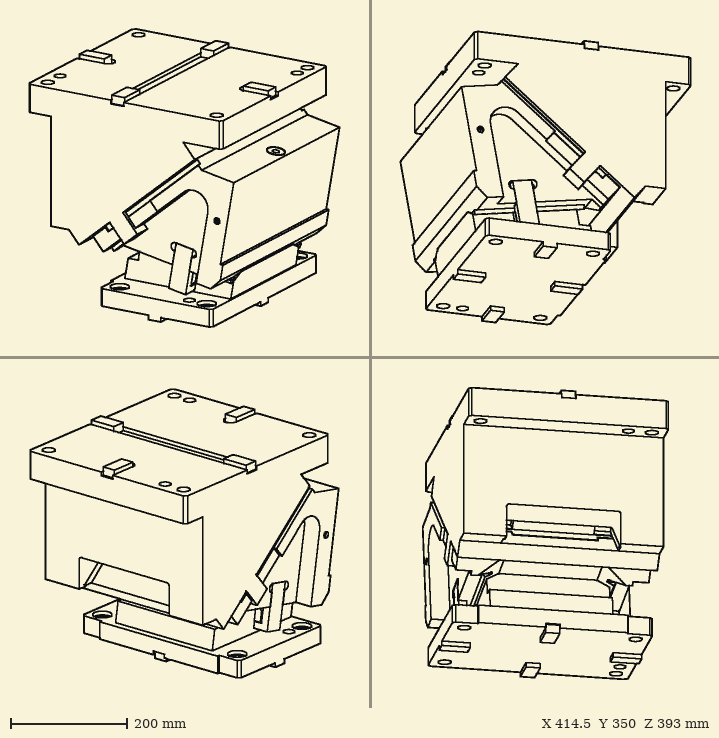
import cadquery as cq
import math


width = 350.0
half_width = width / 2
corner_chamfer = 5.0
key_length = 50.0
key_width = 25.0
key_proud = 8.0
key_sunk = 7.0
bolt_hole = 22.0
dowel_hole = 20.0
bolt_y = 150.0
through = 500.0

drive_angle = math.radians(40)
drive_origin = (-128.7, 130.7)
drive_end = 273.5

guide_angle = math.radians(10)
guide_origin = (-86.0, 113.0)

drive_plane = cq.Plane(
    origin=(drive_origin[0], 0, drive_origin[1]),
    xDir=(math.cos(drive_angle), 0, math.sin(drive_angle)),
    normal=(0, -1, 0),
)
guide_plane = cq.Plane(
    origin=(guide_origin[0], 0, guide_origin[1]),
    xDir=(math.cos(guide_angle), 0, -math.sin(guide_angle)),
    normal=(0, -1, 0),
)
guide_section_plane = cq.Plane(
    origin=(guide_origin[0], 0, guide_origin[1]),
    xDir=(0, 1, 0),
    normal=(math.cos(guide_angle), 0, -math.sin(guide_angle)),
)

plate_left = -255.0
plate_length = 390.0
plate_right = plate_left + plate_length
plate_top = 385.0
plate_bottom = 334.0
body_left = -208.5
body_bottom = 135.0
nose_s = -30.5
ridge_start = 50.0
ridge_end = 85.0
ridge_depth = 45.0
window_half = 100.0
window_top = 194.0
window_radius = 5.0
slot_half = 103.0
slot_height = 16.5
slot_lead = 45.0
slot_end = 65.0
stop_half = 71.5
stop_start = 46.5
relief_half = 75.0
relief_start = 18.0
side_relief_start = 32.5
relief_depth = 1.0
cross_groove_x = -75.0
cross_groove_width = 26.0
cross_key_inset = 3.0
side_key_inset = 5.0
side_groove_length = 67.5
housing_bolt_x = (-230.0, 110.0)
housing_dowels = ((-230.0, -109.0), (110.0, 116.0))

core_half = 141.4
flange_half = 169.0
wear_half = 168.0
wear_thickness = 11.0
wear_chamfer = 2.0
flange_depth = 34.0
tip_depth = 41.5
web_start = 147.0
back_top = (159.52, 278.4)
back_pad_proud = 5.0
back_pad_top = 155.0
back_pad_length = 29.0
heel_x = 113.0
pocket_wall_point = (84.4, 85.6)
pocket_radius = 30.0
step_start = 32.5
step_half = 166.0
lip_half = 117.0
lip_drop = 7.0
roof_angle = math.radians(30)
lip_edge_half = lip_half - lip_drop * math.tan(roof_angle)
lip_start = 6.5
lip_end = 207.0
side_hole = 11.0
side_hole_x = 125.4
side_hole_z = 203.0
side_hole_depth = 5.0
side_pilot = 4.5
side_pilot_depth = 20.0
spotface = 32.0
spotface_depth = 1.0
lifting_hole = 12.0
lifting_hole_depth = 30.0
lifting_from_back = 22.0

hook_start = 103.0
hook_end = 137.5
hook_bottom = -45.0
hook_top = 41.0
hook_outer = 140.5
hook_thickness = 14.5
hook_channel_bottom = -20.0
foot_thickness = 12.0
foot_inner = 110.5
hook_slot_length = 51.0
hook_slot_width = 15.0

base_half = 115.0
base_plate_top = 40.0
base_step_x = 5.0
base_step_y = 131.0
trunk_half = 107.5
trunk_lower_start = -2.0
trunk_step_z = 77.7
trunk_upper_start = 18.0
trunk_end = 208.0
crest_half = 86.0
lug_half = 121.0
lug_start = 106.0
lug_end = 134.5
base_bolt_x = (-85.0, 90.0)
base_dowel_x = 55.0
counterbore = 33.0
counterbore_depth = 7.0


def drive_point(s, t):
    """X and Z of a point given in the drive frame."""
    x = drive_origin[0] + s * math.cos(drive_angle) - t * math.sin(drive_angle)
    z = drive_origin[1] + s * math.sin(drive_angle) + t * math.cos(drive_angle)
    return (x, z)


def guide_point(u, v):
    """X and Z of a point given in the guide frame."""
    x = guide_origin[0] + u * math.cos(guide_angle) + v * math.sin(guide_angle)
    z = guide_origin[1] - u * math.sin(guide_angle) + v * math.cos(guide_angle)
    return (x, z)


def roof_height(y):
    """v of the sloped guide roof at a distance y from the middle."""
    return (lip_edge_half - abs(y)) * math.tan(roof_angle) - lip_drop


def slab(plane, points, half):
    """Prism of a closed outline, reaching the same distance to both sides of Y = 0."""
    return cq.Workplane(plane).polyline(points).close().extrude(half, both=True)


def side_slabs(plane, points, inner, outer):
    """Prism of an outline on both sides, between two distances from Y = 0."""
    return slab(plane, points, outer).cut(slab(plane, points, inner))


def rectangle(left, right, bottom, top):
    return [(left, bottom), (right, bottom), (right, top), (left, top)]


def box(x_range, y_range, z_range):
    size = [high - low for low, high in (x_range, y_range, z_range)]
    return cq.Workplane("XY").box(*size, centered=False).translate((x_range[0], y_range[0], z_range[0]))


def upright_cylinders(points, diameter, bottom, top):
    centers = cq.Workplane("XY", origin=(0, 0, bottom)).pushPoints(points)
    return centers.circle(diameter / 2).extrude(top - bottom)


def guide_roof(half):
    """Prism under the sloped guide roof, along the whole guide."""
    depth = -through / 2
    points = [
        (-half, depth),
        (half, depth),
        (half, roof_height(half)),
        (crest_half, roof_height(crest_half)),
        (-crest_half, roof_height(crest_half)),
        (-half, roof_height(half)),
    ]
    return cq.Workplane(guide_section_plane).polyline(points).close().extrude(through, both=True)


nose_height = (body_bottom - drive_point(nose_s, 0)[1]) / math.cos(drive_angle)


def housing_blank():
    plate = box((plate_left, plate_right), (-half_width, half_width), (plate_bottom, plate_top))
    plate = plate.edges("|Z").chamfer(corner_chamfer)
    neck_height = (plate_bottom - drive_point(drive_end, 0)[1]) / math.cos(drive_angle)
    outline = [
        (body_left, plate_bottom),
        (body_left, body_bottom),
        drive_point(nose_s, nose_height),
        drive_point(nose_s, 0),
        drive_point(ridge_start, 0),
        drive_point(ridge_start, -ridge_depth),
        drive_point(ridge_end, -ridge_depth),
        drive_point(ridge_end, 0),
        drive_point(drive_end, 0),
        drive_point(drive_end, neck_height),
    ]
    return plate.union(slab("XZ", outline, half_width))


def cut_window(body):
    """Window in the left wall, leading into a wider sloped slot above the nose bar."""
    slot_floor = nose_height
    slot_top = slot_floor + slot_height
    window_end = drive_point(slot_end, slot_floor)[0]
    window = box((plate_left, window_end), (-window_half, window_half), (body_bottom, window_top))
    window = window.edges("|X and >Z").fillet(window_radius)
    below_slot = rectangle(-through, through, -through, slot_floor)
    window = window.cut(slab(drive_plane, below_slot, window_half))
    slot = slab(drive_plane, rectangle(-slot_lead, slot_end, slot_floor, slot_top), slot_half)
    stop = slab(drive_plane, rectangle(stop_start, slot_end, slot_floor, slot_top), stop_half)
    relief_bottom = slot_floor - relief_depth
    relief = slab(drive_plane, rectangle(relief_start, stop_start, relief_bottom, slot_floor), relief_half)
    side_relief_outline = rectangle(side_relief_start, stop_start, relief_bottom, slot_floor)
    side_relief = side_slabs(drive_plane, side_relief_outline, relief_half, slot_half)
    return body.cut(window).cut(slot).union(stop).cut(relief).cut(side_relief)


def add_top_keys(body):
    groove_bottom = plate_top - key_sunk
    key_top = plate_top + key_proud
    cross_half = cross_groove_width / 2
    cross_groove = box(
        (cross_groove_x - cross_half, cross_groove_x + cross_half),
        (-half_width, half_width),
        (groove_bottom, plate_top),
    )
    body = body.cut(cross_groove)
    for side in (-1, 1):
        key_y = side * (half_width - cross_key_inset - key_length / 2)
        cross_key = box(
            (cross_groove_x - cross_half, cross_groove_x + cross_half),
            (key_y - key_length / 2, key_y + key_length / 2),
            (groove_bottom, key_top),
        )
        body = body.union(cross_key)
    for edge, inward in ((plate_left, 1), (plate_right, -1)):
        groove = (
            cq.Workplane("XY", origin=(edge, 0, groove_bottom))
            .slot2D(2 * side_groove_length, key_width)
            .extrude(key_sunk)
        )
        key_x = edge + inward * (side_key_inset + key_length / 2)
        side_key = box(
            (key_x - key_length / 2, key_x + key_length / 2),
            (-key_width / 2, key_width / 2),
            (groove_bottom, key_top),
        )
        body = body.cut(groove).union(side_key)
    return body


def make_housing():
    body = add_top_keys(cut_window(housing_blank()))
    bolts = [(x, y) for x in housing_bolt_x for y in (-bolt_y, bolt_y)]
    body = body.cut(upright_cylinders(bolts, bolt_hole, plate_bottom, plate_top))
    return body.cut(upright_cylinders(housing_dowels, dowel_hole, plate_bottom, plate_top))


def back_point(distance, proud):
    """Point below the top back corner along the back face, and out from that face."""
    x = back_top[0] - distance * math.sin(guide_angle) + proud * math.cos(guide_angle)
    z = back_top[1] - distance * math.cos(guide_angle) - proud * math.sin(guide_angle)
    return (x, z)


def slide_outline():
    end_x, end_z = drive_point(drive_end, 0)
    rise = (end_x - back_top[0]) * math.sin(guide_angle) + (end_z - back_top[1]) * math.cos(guide_angle)
    end_drop = rise / math.cos(drive_angle + guide_angle)
    underside_start = guide_point(0, 0)
    heel_u = (heel_x - guide_origin[0]) / math.cos(guide_angle)
    return [
        drive_point(0, 0),
        drive_point(0, -tip_depth),
        underside_start,
        guide_point(heel_u, 0),
        back_point(back_pad_top + back_pad_length, back_pad_proud),
        back_point(back_pad_top, back_pad_proud),
        back_point(back_pad_top, 0),
        back_top,
        drive_point(drive_end, -end_drop),
        drive_point(drive_end, 0),
    ]


def side_pocket_outline():
    """Wedge below the flange and in front of the pocket wall, with a rounded upper corner."""
    wall_x, wall_z = pocket_wall_point
    flange_x, flange_z = drive_point(0, -flange_depth)
    wall_lean = math.tan(guide_angle)
    slope = math.tan(drive_angle)
    corner_z = (flange_z + slope * (wall_x - wall_lean * wall_z - flange_x)) / (1 - slope * wall_lean)
    corner_x = wall_x + wall_lean * (corner_z - wall_z)
    foot_z = base_plate_top
    foot_x = wall_x + wall_lean * (foot_z - wall_z)
    lead_x, lead_z = drive_point(-tip_depth, -flange_depth)
    return [(lead_x, lead_z), (corner_x, corner_z), (foot_x, foot_z), (lead_x, foot_z)]


def cut_side_pockets(body):
    outline = side_pocket_outline()
    corner_x, corner_z = outline[1]
    pocket = slab("XZ", outline, half_width)
    corner_edge = cq.selectors.NearestToPointSelector((corner_x, 0, corner_z))
    pocket = pocket.edges("|Y").edges(corner_edge).fillet(pocket_radius)
    return body.cut(pocket.cut(box((-through, through), (-core_half, core_half), (0, through))))


def cut_flange_steps(body):
    front_of_web = rectangle(-tip_depth, web_start, -flange_depth, through)
    wear_side = rectangle(0, through, -wear_thickness, through)
    end_step = rectangle(step_start, ridge_start, -wear_thickness, 0)
    body = body.cut(side_slabs(drive_plane, front_of_web, flange_half, half_width))
    body = body.cut(side_slabs(drive_plane, wear_side, flange_half, half_width))
    wear_plate_side = rectangle(ridge_end, drive_end, -wear_thickness, 0)
    body = body.cut(side_slabs(drive_plane, wear_plate_side, wear_half, flange_half))
    return body.cut(side_slabs(drive_plane, end_step, step_half, half_width))


def chamfer_sliding_face(body):
    """Bevel along both long edges of the sliding face."""
    for start, end, edge_y in ((0, ridge_start, flange_half), (ridge_end, drive_end, wear_half)):
        for side in (-1, 1):
            corner = [(side * edge_y, 0), (side * (edge_y - wear_chamfer), 0), (side * edge_y, -wear_chamfer)]
            x, z = drive_point(start, 0)
            plane = cq.Plane(
                origin=(x, 0, z),
                xDir=(0, 1, 0),
                normal=(math.cos(drive_angle), 0, math.sin(drive_angle)),
            )
            body = body.cut(cq.Workplane(plane).polyline(corner).close().extrude(end - start))
    return body


def cut_ridge_notch(body):
    """Notch across the sliding face for the housing ridge."""
    return body.cut(slab(drive_plane, rectangle(ridge_start, ridge_end, -ridge_depth, 0), half_width))


def add_guide_lip(body):
    """Hanging lip with sloped sides, hollowed by the guide roof of the base."""
    section = [(-lip_half, 0), (-lip_edge_half, -lip_drop), (lip_edge_half, -lip_drop), (lip_half, 0)]
    section_plane = cq.Workplane(guide_section_plane).workplane(offset=lip_start)
    lip = section_plane.polyline(section).close().extrude(lip_end - lip_start)
    return body.union(lip).cut(guide_roof(core_half))


def add_return_hooks(body):
    slot_middle = (hook_start + hook_end) / 2
    slot_v = hook_top - hook_slot_width / 2
    upright_inner = hook_outer - hook_thickness
    slots = (
        cq.Workplane(guide_plane)
        .center(slot_middle, slot_v)
        .slot2D(hook_slot_length, hook_slot_width)
        .extrude(core_half, both=True)
        .cut(box((-through, through), (-upright_inner, upright_inner), (0, through)))
    )
    channel = rectangle(hook_start, hook_end, hook_channel_bottom, hook_top)
    upright = rectangle(hook_start, hook_end, hook_bottom, hook_top)
    foot = rectangle(hook_start, hook_end, hook_bottom, hook_bottom + foot_thickness)
    body = body.cut(slots).cut(side_slabs(guide_plane, channel, upright_inner, core_half))
    body = body.union(side_slabs(guide_plane, upright, upright_inner, hook_outer))
    return body.union(side_slabs(guide_plane, foot, foot_inner, hook_outer))


def cut_slide_holes(body):
    for side in (-1, 1):
        for diameter, depth in ((side_hole, side_hole_depth), (side_pilot, side_pilot_depth)):
            start = cq.Workplane("XZ", origin=(side_hole_x, side * half_width, side_hole_z))
            body = body.cut(start.circle(diameter / 2).extrude(side * depth))
    lifting_x = back_top[0] - lifting_from_back * math.cos(guide_angle)
    lifting_z = back_top[1] + lifting_from_back * math.sin(guide_angle)
    top_face = cq.Plane(
        origin=(lifting_x, 0, lifting_z),
        xDir=(0, 1, 0),
        normal=(math.sin(guide_angle), 0, math.cos(guide_angle)),
    )
    body = body.cut(cq.Workplane(top_face).circle(spotface / 2).extrude(-spotface_depth))
    return body.cut(cq.Workplane(top_face).circle(lifting_hole / 2).extrude(-lifting_hole_depth))


def make_slide():
    body = slab("XZ", slide_outline(), half_width)
    body = cut_flange_steps(cut_side_pockets(body))
    body = cut_ridge_notch(chamfer_sliding_face(body))
    return cut_slide_holes(add_return_hooks(add_guide_lip(body)))


def base_plate():
    """Plate whose left corners stand back from the middle of the left edge."""
    plate = box((base_step_x - base_half, base_half), (-half_width, half_width), (key_proud, base_plate_top))
    plate = plate.edges("|Z").chamfer(corner_chamfer)
    left_edge = box((-base_half, 0), (-base_step_y, base_step_y), (key_proud, base_plate_top))
    return plate.union(left_edge)


def add_bottom_keys(body):
    key_top = key_proud + key_sunk
    half_key = key_width / 2
    left_groove = box((-base_half, base_step_x - base_half), (-half_key, half_key), (key_proud, key_top))
    body = body.cut(left_groove)
    for key_left in (base_step_x - base_half, base_half - key_length):
        body = body.union(box((key_left, key_left + key_length), (-half_key, half_key), (0, key_top)))
    for key_front in (-half_width, half_width - key_length):
        body = body.union(box((-half_key, half_key), (key_front, key_front + key_length), (0, key_top)))
    return body


def guide_trunk():
    """Block that carries the guide roof, with a low step at its left end."""
    def end_at(u, z):
        """Point of the trunk end at u, at a height Z."""
        return guide_point(u, (z - guide_point(u, 0)[1]) / math.cos(guide_angle))

    crest = roof_height(crest_half)
    outline = [
        end_at(trunk_lower_start, base_plate_top),
        end_at(trunk_lower_start, trunk_step_z),
        end_at(trunk_upper_start, trunk_step_z),
        guide_point(trunk_upper_start, crest),
        guide_point(trunk_end, crest),
        end_at(trunk_end, base_plate_top),
    ]
    lug = rectangle(lug_start, lug_end, hook_bottom + foot_thickness, crest)
    trunk = slab("XZ", outline, trunk_half).union(slab(guide_plane, lug, lug_half))
    return trunk.intersect(guide_roof(core_half))


def make_base():
    body = add_bottom_keys(base_plate()).union(guide_trunk())
    bolts = [(x, y) for x in base_bolt_x for y in (-bolt_y, bolt_y)]
    body = body.cut(upright_cylinders(bolts, bolt_hole, 0, base_plate_top))
    body = body.cut(upright_cylinders(bolts, counterbore, base_plate_top - counterbore_depth, base_plate_top))
    return body.cut(upright_cylinders([(base_dowel_x, -bolt_y)], dowel_hole, 0, base_plate_top))


housing = make_housing()
slide = make_slide()
base = make_base()
result = cq.Compound.makeCompound([housing.val(), slide.val(), base.val()])